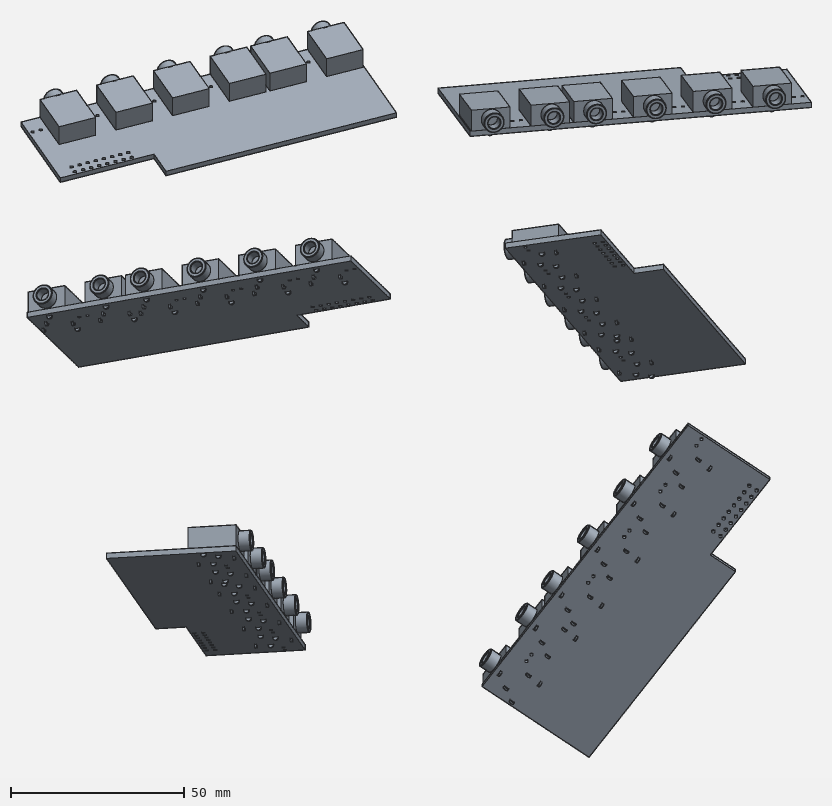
import cadquery as cq


BOARD_WIDTH = 38.1
BOARD_LENGTH = 101.6
BOARD_THICKNESS = 1.6
TAB_WIDTH = 29.2
NOTCH_LENGTH = 29.4

JACK_DEPTH = 14.2
JACK_WIDTH = 11.5
JACK_HEIGHT = 6.4
JACK_OFFSET = 0.2
SLEEVE_LENGTH = 3.5
SLEEVE_DIAMETER = 6.0
BORE_DIAMETER = 3.6
RIM_CHAMFER = 0.2
JACK_PITCH = 17.8
CLOSE_PITCH = 12.7
FIRST_JACK_Y = 11.5
FRONT_JACKS = 4
BACK_JACKS = 2
FRONT_JACK_YS = [FIRST_JACK_Y + i * JACK_PITCH for i in range(FRONT_JACKS)]
BACK_JACK_YS = [FRONT_JACK_YS[-1] + CLOSE_PITCH + i * JACK_PITCH for i in range(BACK_JACKS)]
JACK_YS = FRONT_JACK_YS + BACK_JACK_YS

BLADE_WIDTH = 1.6
BLADE_THICKNESS = 0.6
BLADE_LENGTH = BOARD_THICKNESS + BLADE_WIDTH / 2
CROSS_BLADES = [(1.7, 0.0), (13.0, -4.1)]
LONG_BLADES = [(5.9, 2.6), (8.7, -4.5), (9.8, 5.2)]

HOLE_PITCH = 2.5
PAIR_HOLE_DIAMETER = 0.9
PAIR_X = 5.7
PAIR_OFFSET = -8.9
JACKS_WITH_PAIR = [0, 1, 2, 3, 5]

GRID_HOLE_DIAMETER = 1.0
GRID_COLUMNS = 2
GRID_ROWS = 8
GRID_X = 25.5
GRID_Y = 5.1


def blade(normal, x, y):
    """Blade hanging from Z = 0, its flat face square to the given axis."""
    if normal == "X":
        plane = cq.Plane(origin=(x, y, 0), xDir=(0, 1, 0), normal=(1, 0, 0))
    else:
        plane = cq.Plane(origin=(x, y, 0), xDir=(1, 0, 0), normal=(0, -1, 0))
    half_width = BLADE_WIDTH / 2
    return (
        cq.Workplane(plane)
        .moveTo(-half_width, 0)
        .lineTo(-half_width, -BOARD_THICKNESS)
        .threePointArc((0, -BLADE_LENGTH), (half_width, -BOARD_THICKNESS))
        .lineTo(half_width, 0)
        .close()
        .extrude(BLADE_THICKNESS / 2, both=True)
    )


def jack_blades(y):
    """All blades of the jack whose sleeve axis is at y."""
    cross = [blade("X", x, y + offset) for x, offset in CROSS_BLADES]
    along = [blade("Y", x, y + offset) for x, offset in LONG_BLADES]
    return cross + along


def make_jack(y):
    """Housing with a bored sleeve and its solder blades, as one solid."""
    housing = (
        cq.Workplane("XY")
        .box(JACK_DEPTH, JACK_WIDTH, JACK_HEIGHT, centered=(False, True, False))
        .translate((0, y + JACK_OFFSET, 0))
    )
    sleeve_plane = cq.Workplane("YZ", origin=(-SLEEVE_LENGTH, y, JACK_HEIGHT / 2))
    sleeve = sleeve_plane.circle(SLEEVE_DIAMETER / 2).extrude(SLEEVE_LENGTH)
    bore = sleeve_plane.circle(BORE_DIAMETER / 2).extrude(SLEEVE_LENGTH)
    jack = housing.union(sleeve).cut(bore)
    jack = jack.faces("<X").chamfer(RIM_CHAMFER)
    for pin in jack_blades(y):
        jack = jack.union(pin)
    return jack


def make_board():
    """Notched board with the pair holes, the connector holes and the blade slots."""
    board = (
        cq.Workplane("XY", origin=(0, 0, -BOARD_THICKNESS))
        .polyline([
            (0, 0),
            (TAB_WIDTH, 0),
            (TAB_WIDTH, NOTCH_LENGTH),
            (BOARD_WIDTH, NOTCH_LENGTH),
            (BOARD_WIDTH, BOARD_LENGTH),
            (0, BOARD_LENGTH),
        ])
        .close()
        .extrude(BOARD_THICKNESS)
    )
    pair_points = [
        (PAIR_X, JACK_YS[i] + PAIR_OFFSET + side * HOLE_PITCH / 2)
        for i in JACKS_WITH_PAIR
        for side in (-1, 1)
    ]
    grid_points = [
        (GRID_X + column * HOLE_PITCH, GRID_Y + row * HOLE_PITCH)
        for column in range(GRID_COLUMNS)
        for row in range(GRID_ROWS)
    ]
    top = cq.Workplane("XY")
    pair_holes = top.pushPoints(pair_points).circle(PAIR_HOLE_DIAMETER / 2).extrude(-BOARD_THICKNESS)
    grid_holes = top.pushPoints(grid_points).circle(GRID_HOLE_DIAMETER / 2).extrude(-BOARD_THICKNESS)
    board = board.cut(pair_holes).cut(grid_holes)
    for y in JACK_YS:
        for pin in jack_blades(y):
            board = board.cut(pin)
    return board


board = make_board()
jacks = [make_jack(y) for y in JACK_YS]

result = cq.Compound.makeCompound([board.val(), *[jack.val() for jack in jacks]])